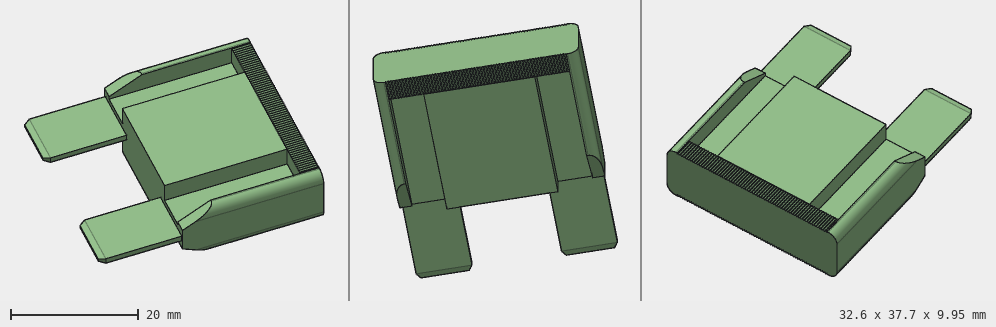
import cadquery as cq

WIDTH = 32.6
HEIGHT = 9.95
TOTAL_LENGTH = 37.7
HOUSING_LENGTH = 23.85
CORNER_RADIUS = 1.7

INNER_WIDTH = 28.72
REAR_WALL = 3.15
BLOCK_WIDTH = 17.65
POCKET_DEPTH = 3.43

SLOPE_LENGTH = 5.55
SLOPE_DEPTH = 2.83

RIDGE_COUNT = 65

BLADE_WIDTH = 8.9
BLADE_THICKNESS = 1.05
BLADE_SIDE_GAP = 0.3
BRIDGE_WIDTH = 5.65
TIP_LENGTH = 1.0
TIP_INSET = 0.6
TIP_THICKNESS = 0.5

BLADE_REACH = TOTAL_LENGTH - HOUSING_LENGTH
SIDE_WALL = (WIDTH - INNER_WIDTH) / 2
POCKET_LENGTH = HOUSING_LENGTH - REAR_WALL
POCKET_WIDTH = (INNER_WIDTH - BLOCK_WIDTH) / 2
POCKET_CENTRE_X = (INNER_WIDTH - POCKET_WIDTH) / 2
BLADE_CENTRE_X = (WIDTH - BLADE_WIDTH) / 2 - BLADE_SIDE_GAP
RIDGE_PITCH = INNER_WIDTH / RIDGE_COUNT
RIDGE_HEIGHT = RIDGE_PITCH / 2


def box(size_x, size_y, size_z, centre_x, front_y, bottom_z):
    """Box centred on centre_x that extends back from front_y and up from bottom_z."""
    block = cq.Workplane("XY").box(size_x, size_y, size_z, centered=(True, False, False))
    return block.translate((centre_x, front_y, bottom_z))


def with_bottom_copy(cutter):
    """The cutter on the top side together with its mirror image on the bottom side."""
    return cutter.add(cutter.mirror("XY"))


def make_pockets():
    """Pockets that leave a thin web on each side of the centre block and are open at the front."""
    floor_z = HEIGHT / 2 - POCKET_DEPTH
    pockets = cq.Workplane("XY")
    for side in (-1, 1):
        pockets.add(box(POCKET_WIDTH, POCKET_LENGTH, POCKET_DEPTH, side * POCKET_CENTRE_X, 0, floor_z))
    return with_bottom_copy(pockets)


def make_wall_slopes():
    """Wedges that slope the front ends of the side walls towards the web."""
    top_z = HEIGHT / 2
    slopes = cq.Workplane("XY")
    for start_x in (-WIDTH / 2, WIDTH / 2 - SIDE_WALL):
        wedge = (
            cq.Workplane("YZ", origin=(start_x, 0, 0))
            .polyline([(0, top_z - SLOPE_DEPTH), (SLOPE_LENGTH, top_z), (0, top_z)])
            .close()
            .extrude(SIDE_WALL)
        )
        slopes.add(wedge)
    return with_bottom_copy(slopes)


def make_grip_cutters():
    """Cutters that leave a row of sharp ridges on the rear wall, with a valley beside each side wall."""
    peak_z = HEIGHT / 2
    valley_z = peak_z - RIDGE_HEIGHT
    clear_z = peak_z + RIDGE_HEIGHT
    outline = [(INNER_WIDTH / 2, clear_z), (-INNER_WIDTH / 2, clear_z), (-INNER_WIDTH / 2, valley_z)]
    for index in range(RIDGE_COUNT):
        valley_x = index * RIDGE_PITCH - INNER_WIDTH / 2
        outline.append((valley_x + RIDGE_PITCH / 2, peak_z))
        outline.append((valley_x + RIDGE_PITCH, valley_z))
    cutters = cq.Workplane("XZ", origin=(0, HOUSING_LENGTH, 0)).polyline(outline).close().extrude(REAR_WALL)
    return with_bottom_copy(cutters)


def make_blade(centre_x):
    """Flat blade with a tapered tip; its rear end reaches the back of the pockets."""
    shank_front = TIP_LENGTH - BLADE_REACH
    shank_length = POCKET_LENGTH - shank_front
    shank = box(BLADE_WIDTH, shank_length, BLADE_THICKNESS, centre_x, shank_front, -BLADE_THICKNESS / 2)
    tip = (
        cq.Workplane("XZ", origin=(centre_x, shank_front, 0))
        .rect(BLADE_WIDTH, BLADE_THICKNESS)
        .workplane(offset=TIP_LENGTH)
        .rect(BLADE_WIDTH - 2 * TIP_INSET, TIP_THICKNESS)
        .loft(ruled=True)
    )
    return shank.union(tip)


def make_fuse_element():
    """Flat U-shaped conductor: the bridge joins the rear ends of both blades."""
    bridge_front = POCKET_LENGTH - BRIDGE_WIDTH
    element = box(2 * BLADE_CENTRE_X, BRIDGE_WIDTH, BLADE_THICKNESS, 0, bridge_front, -BLADE_THICKNESS / 2)
    for side in (-1, 1):
        element = element.union(make_blade(side * BLADE_CENTRE_X))
    return element


def make_housing(element):
    """Housing with rounded side edges and a recess that exactly fits the fuse element."""
    housing = box(WIDTH, HOUSING_LENGTH, HEIGHT, 0, 0, -HEIGHT / 2).edges("|Y").fillet(CORNER_RADIUS)
    for cutters in (make_pockets(), make_wall_slopes(), make_grip_cutters()):
        for cutter in cutters.vals():
            housing = housing.cut(cq.Workplane(cutter))
    return housing.cut(element)


fuse_element = make_fuse_element()
housing = make_housing(fuse_element)
result = cq.Compound.makeCompound([housing.val(), fuse_element.val()])